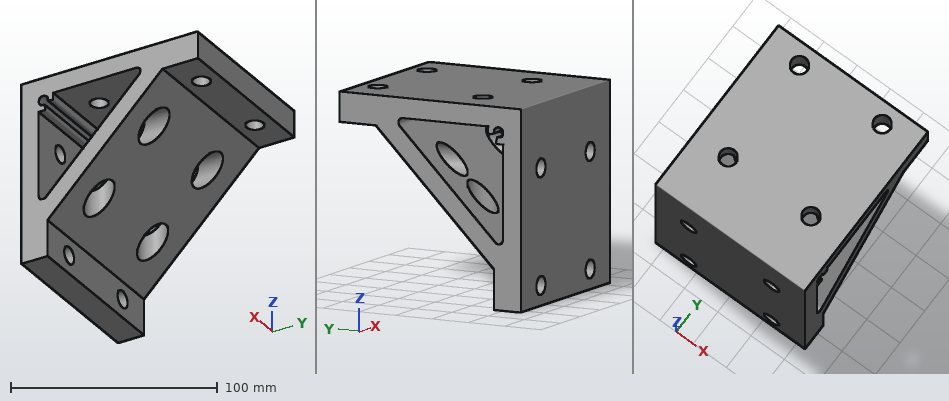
import cadquery as cq
import math

width = 90.0
leg_length = 100.0
end_thickness = 15.0
wall_thickness = 10.0
end_length = 20.0
brace_thickness = 10.0
pocket_radius = 2.4
edge_radius = 0.5

groove_radius = 2.5
lip_reach = 18.2
lip_tip = 14.0
lip_radius = 0.8

hole_diameter = 9.2
access_diameter = 15.0
hole_spacing = 49.8
hole_distances = (32.0, 89.8)
access_distance = hole_distances[0]


def extrude_profile(points):
    """Extrude a closed (Y, Z) outline over the full width, centred on X."""
    return cq.Workplane("YZ").polyline(points).close().extrude(width / 2, both=True)


def make_body():
    brace_start = leg_length - end_length
    body = extrude_profile([
        (0, 0),
        (leg_length, 0),
        (leg_length, -end_thickness),
        (brace_start, -end_thickness),
        (end_thickness, -brace_start),
        (end_thickness, -leg_length),
        (0, -leg_length),
    ])
    outer_edges = body.edges("|X and (<Y or >Z)")
    return outer_edges.fillet(edge_radius)


def make_pocket():
    brace_sum = leg_length - end_length + end_thickness
    pocket_end = brace_sum - brace_thickness * math.sqrt(2) - wall_thickness
    pocket = extrude_profile([
        (wall_thickness, -wall_thickness),
        (pocket_end, -wall_thickness),
        (wall_thickness, -pocket_end),
    ])
    return pocket.edges("|X and (>Y or <Z)").fillet(pocket_radius)


def make_groove_lips():
    """Two mirrored lips whose tips slope radially towards the groove axis."""
    axis = wall_thickness + groove_radius
    upper_lip = extrude_profile([
        (axis, -wall_thickness),
        (lip_reach, -wall_thickness),
        (lip_reach, -lip_tip),
        (axis, -axis),
    ])
    upper_lip = upper_lip.edges("|X and >Y").edges("<Z").fillet(lip_radius)
    lower_lip = upper_lip.mirror("XY").rotate((0, 0, 0), (1, 0, 0), -90)
    corner = extrude_profile([
        (wall_thickness, -wall_thickness),
        (axis, -wall_thickness),
        (axis, -axis),
        (wall_thickness, -axis),
    ])
    groove = (
        cq.Workplane("YZ")
        .center(axis, -axis)
        .circle(groove_radius)
        .extrude(width / 2, both=True)
    )
    return upper_lip.union(lower_lip).union(corner).cut(groove)


def cut_holes(body):
    for x in (-hole_spacing / 2, hole_spacing / 2):
        for distance in hole_distances:
            through_top = cq.Workplane("XY").center(x, distance).circle(hole_diameter / 2)
            body = body.cut(through_top.extrude(-end_thickness))
            through_front = cq.Workplane("XZ").center(x, -distance).circle(hole_diameter / 2)
            body = body.cut(through_front.extrude(-end_thickness))
        access_depth = leg_length - wall_thickness
        from_top = cq.Workplane("XY", origin=(0, 0, -wall_thickness)).center(x, access_distance)
        body = body.cut(from_top.circle(access_diameter / 2).extrude(-access_depth))
        from_front = cq.Workplane("XZ", origin=(0, wall_thickness, 0)).center(x, -access_distance)
        body = body.cut(from_front.circle(access_diameter / 2).extrude(-access_depth))
    return body


bracket = make_body().cut(make_pocket()).union(make_groove_lips())
result = cut_holes(bracket)